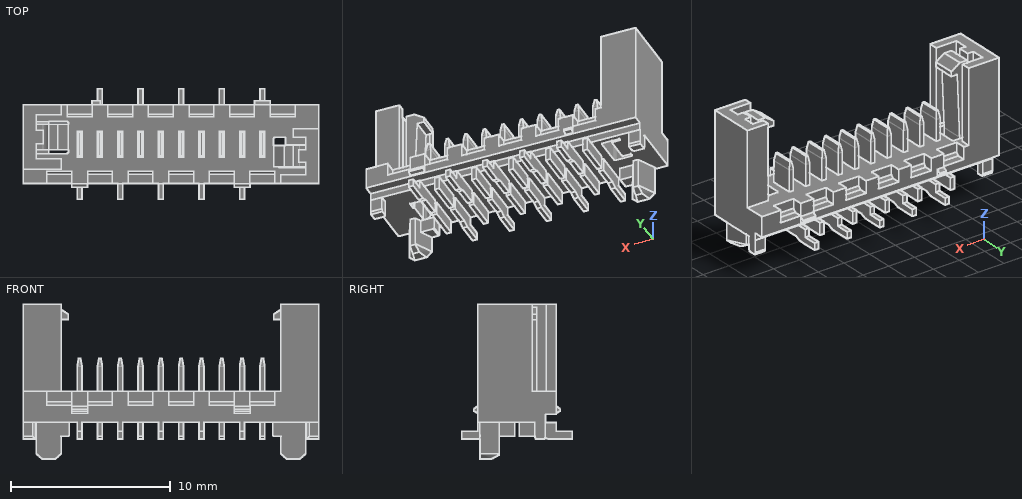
import cadquery as cq


PIN_COUNT = 10
PITCH = 1.27
ROW_HALF = PITCH * (PIN_COUNT - 1) / 2
PIN_THICKNESS = 0.32
PIN_BLADE_DEPTH = 1.63
PIN_SHOULDER_Z = 3.5
PIN_TIP_Z = 4.02
PIN_TIP_THICKNESS = 0.13
PIN_TIP_DEPTH = 1.46
PIN_INNER_Y = 0.13
PIN_INNER_Z = -0.88
STUB_END_Y = 2.32
FOOT_END_Y = 3.46
FOOT_BOTTOM_Z = -1.05
FOOT_TOP_Z = -0.55
FOOT_RAMP_OUTER_Y = 1.95
FOOT_RAMP_INNER_Y = 1.5

LEFT_X = -9.24
RIGHT_X = 9.24
HALF_WIDTH = 2.47
BASE_TOP = 1.95
TOP_Z = 7.4
REAR_STEP_Y = 1.79
REAR_STEP_HEIGHT = 0.5

NOTCH_COUNT = 6
NOTCH_PITCH = 2 * PITCH
NOTCH_LENGTH = 1.55
NOTCH_DEPTH = 0.76
NOTCH_FLOOR_Z = 1.07
NOTCH_BEVEL_DEPTH = 0.17
NOTCH_BEVEL_HEIGHT = 0.21
FIRST_FRONT_NOTCH_X = -ROW_HALF - PITCH
FIRST_REAR_NOTCH_X = -ROW_HALF
BUMP_LENGTH = 1.0
BUMP_REACH = 0.24
BUMP_Z = (0.57, 0.71, 0.83, 1.02)
OUTER_BUMP_X = ROW_HALF
INNER_BUMP_X = ROW_HALF - PITCH
SHORT_BUMP_LENGTH = 0.52

INNER_FACE_X = 6.86
WALL_INNER_X = 8.43
RIB_DEPTH = 0.45
LATCH_BACK_X = 7.64
LATCH_EDGE_X = 7.08
LATCH_TIP_X = 6.42
LATCH_TOP_Z = 7.2
HOOK_SLOPE_Z = 6.77
HOOK_BOTTOM_Z = 6.43
LATCH_FRONT_X = 6.88
LATCH_ROOT_FRONT_X = 7.06
LATCH_FILLET = 0.37
SLOT_FLOOR_Z = 1.0
HOLE_CORNER = 0.1
LARGE_HOLE_CORNER = 0.5

PEG_BOTTOM_Z = -2.3
PEG_OUTER_X = 8.43
PEG_FRONT_Y = -2.32
PEG_BACK_Y = -1.1
PEG_TAPER = 0.62
PEG_END_CHAMFER_RATIO = 0.48
PEG_END_CHAMFER_Z = 0.33
PEG_BACK_CHAMFER_Y = 0.5
PEG_BACK_CHAMFER_Z = 0.27
STANDOFF_INNER_X = 6.36
STANDOFF_BACK_Y = -1.5
STANDOFF_BOTTOM_Z = -0.88
STANDOFF_CORNER = 0.06
LEG_INNER_X = 8.46
LEG_Y = (1.1, 1.78)
LEG_BOTTOM_Z = -1.05
LEG_TAPER_HEIGHT = 0.18
LEG_TAPER_INSET = 0.06
LEG_EDGE_CHAMFER = 0.17


def box(x0, x1, y0, y1, z0, z1):
    """Axis-aligned block between two opposite corners."""
    size = (abs(x1 - x0), abs(y1 - y0), abs(z1 - z0))
    middle = ((x0 + x1) / 2, (y0 + y1) / 2, (z0 + z1) / 2)
    return cq.Workplane("XY").box(*size).translate(middle)


def extrude_along_x(points, x_middle, length):
    """Prism of a (Y, Z) outline, centred on x_middle."""
    prism = cq.Workplane("YZ").polyline(points).close().extrude(length / 2, both=True)
    return prism.translate((x_middle, 0, 0))


def inner_side(end):
    """Selector for the edges nearest the middle of the part."""
    return "<X" if end > 0 else ">X"


def make_base():
    base = box(LEFT_X, RIGHT_X, -HALF_WIDTH, HALF_WIDTH, 0, BASE_TOP)
    return base.cut(box(LEFT_X, RIGHT_X, REAR_STEP_Y, HALF_WIDTH, 0, REAR_STEP_HEIGHT))


def make_notch(x, side):
    """Open-sided pocket in a long top edge, with a bevel along the foot of its back wall."""
    wall_y = HALF_WIDTH - NOTCH_DEPTH
    outline = [
        (side * HALF_WIDTH, BASE_TOP),
        (side * wall_y, BASE_TOP),
        (side * wall_y, NOTCH_FLOOR_Z + NOTCH_BEVEL_HEIGHT),
        (side * (wall_y + NOTCH_BEVEL_DEPTH), NOTCH_FLOOR_Z),
        (side * HALF_WIDTH, NOTCH_FLOOR_Z),
    ]
    return extrude_along_x(outline, x, NOTCH_LENGTH)


def make_bump(x, side, length):
    """Small blunt ridge on a long side of the base."""
    bottom, tip_bottom, tip_top, top = BUMP_Z
    tip_y = HALF_WIDTH + BUMP_REACH
    root_y = HALF_WIDTH - BUMP_REACH
    outline = [
        (side * root_y, bottom),
        (side * HALF_WIDTH, bottom),
        (side * tip_y, tip_bottom),
        (side * tip_y, tip_top),
        (side * HALF_WIDTH, top),
        (side * root_y, top),
    ]
    return extrude_along_x(outline, x, length)


def make_pin(x, side):
    """Tapered upright blade with a solder foot on the given Y side and a stub on the other."""
    blade = box(
        x - PIN_THICKNESS / 2, x + PIN_THICKNESS / 2,
        -PIN_BLADE_DEPTH / 2, PIN_BLADE_DEPTH / 2,
        BASE_TOP / 2, PIN_SHOULDER_Z,
    )
    tip = (
        cq.Workplane("XY", origin=(x, 0, PIN_SHOULDER_Z))
        .rect(PIN_THICKNESS, PIN_BLADE_DEPTH)
        .workplane(offset=PIN_TIP_Z - PIN_SHOULDER_Z)
        .rect(PIN_TIP_THICKNESS, PIN_TIP_DEPTH)
        .loft(ruled=True)
    )
    foot_outline = [
        (side * PIN_INNER_Y, 0),
        (side * PIN_INNER_Y, PIN_INNER_Z),
        (side * FOOT_RAMP_INNER_Y, PIN_INNER_Z),
        (side * FOOT_RAMP_OUTER_Y, FOOT_BOTTOM_Z),
        (side * FOOT_END_Y, FOOT_BOTTOM_Z),
        (side * FOOT_END_Y, FOOT_TOP_Z),
        (side * HALF_WIDTH, FOOT_TOP_Z),
        (side * HALF_WIDTH, 0),
    ]
    foot = extrude_along_x(foot_outline, x, PIN_THICKNESS)
    stub = box(
        x - PIN_THICKNESS / 2, x + PIN_THICKNESS / 2,
        -side * PIN_INNER_Y, -side * STUB_END_Y,
        PIN_INNER_Z, 0,
    )
    return blade.union(tip).union(foot).union(stub)


def make_column(end, outer_x, outer_y, cavity_y, rib_y, rear_arm_x):
    """C-shaped end column, open toward the pins, with a rib on its back wall."""
    front_y, rear_y = outer_y
    column = box(end * INNER_FACE_X, outer_x, front_y, rear_y, BASE_TOP, TOP_Z)
    column = column.cut(box(end * INNER_FACE_X, end * WALL_INNER_X, *cavity_y, BASE_TOP, TOP_Z))
    if rear_arm_x > INNER_FACE_X:
        column = column.cut(box(end * INNER_FACE_X, end * rear_arm_x, cavity_y[1], rear_y, BASE_TOP, TOP_Z))
    rib_face_x = WALL_INNER_X - RIB_DEPTH
    return column.union(box(end * rib_face_x, end * WALL_INNER_X, *rib_y, BASE_TOP, TOP_Z))


def make_latch(end, latch_y):
    """Hooked spring arm standing in the column, flared into the base at its back."""
    front_y, rear_y = latch_y
    root_x = LATCH_BACK_X + LATCH_FILLET
    return (
        cq.Workplane("XZ", origin=(0, rear_y, 0))
        .moveTo(end * LATCH_ROOT_FRONT_X, 0)
        .lineTo(end * LATCH_ROOT_FRONT_X, BASE_TOP)
        .lineTo(end * LATCH_FRONT_X, HOOK_BOTTOM_Z)
        .lineTo(end * LATCH_TIP_X, HOOK_BOTTOM_Z)
        .lineTo(end * LATCH_TIP_X, HOOK_SLOPE_Z)
        .lineTo(end * LATCH_EDGE_X, LATCH_TOP_Z)
        .lineTo(end * LATCH_BACK_X, LATCH_TOP_Z)
        .lineTo(end * LATCH_BACK_X, BASE_TOP + LATCH_FILLET)
        .radiusArc((end * root_x, BASE_TOP), -end * LATCH_FILLET)
        .lineTo(end * root_x, 0)
        .close()
        .extrude(rear_y - front_y)
    )


def make_hole(end, hole_y, back_x, front_corner):
    """Through opening in the base in front of the latch, rounded at its two inner corners."""
    hole = box(end * LATCH_TIP_X, end * back_x, *hole_y, 0, BASE_TOP)
    hole = hole.edges("|Z").edges(inner_side(end)).edges("<Y").fillet(front_corner)
    return hole.edges("|Z").edges(inner_side(end)).edges(">Y").fillet(HOLE_CORNER)


def make_slot_pocket(end, hole_y):
    """Blind pocket behind the hole; the latch root later fills all but two side slots."""
    return box(end * LATCH_EDGE_X, end * WALL_INNER_X, *hole_y, SLOT_FLOOR_Z, BASE_TOP)


def make_latch_web(end, latch_y):
    """Floor block joining the latch root to the back wall of the column."""
    return box(end * LATCH_BACK_X, end * WALL_INNER_X, *latch_y, 0, BASE_TOP)


def peg_section(end, half_width):
    """(X, Z) outline of the peg with its lower corners chamfered in proportion to its width."""
    middle_x = end * (INNER_FACE_X + PEG_OUTER_X) / 2
    flat_half = half_width * (1 - PEG_END_CHAMFER_RATIO)
    chamfer_z = PEG_BOTTOM_Z + PEG_END_CHAMFER_Z
    return [
        (middle_x - half_width, 0),
        (middle_x - half_width, chamfer_z),
        (middle_x - flat_half, PEG_BOTTOM_Z),
        (middle_x + flat_half, PEG_BOTTOM_Z),
        (middle_x + half_width, chamfer_z),
        (middle_x + half_width, 0),
    ]


def make_peg(end):
    """Locating peg narrowing toward +Y, chamfered at its lower end."""
    front_half = (PEG_OUTER_X - INNER_FACE_X) / 2
    back_half = front_half - PEG_TAPER
    peg = (
        cq.Workplane("XZ", origin=(0, PEG_FRONT_Y, 0))
        .polyline(peg_section(end, front_half))
        .close()
        .workplane(offset=PEG_FRONT_Y - PEG_BACK_Y)
        .polyline(peg_section(end, back_half))
        .close()
        .loft(ruled=True)
    )
    side_profile = [
        (PEG_FRONT_Y, 0),
        (PEG_FRONT_Y, PEG_BOTTOM_Z),
        (PEG_BACK_Y - PEG_BACK_CHAMFER_Y, PEG_BOTTOM_Z),
        (PEG_BACK_Y, PEG_BOTTOM_Z + PEG_BACK_CHAMFER_Z),
        (PEG_BACK_Y, 0),
    ]
    return peg.intersect(extrude_along_x(side_profile, 0, 2 * RIGHT_X))


def make_standoff(end):
    """Short block under the base on the inner side of the peg, flush with its front."""
    peg_middle_x = (INNER_FACE_X + PEG_OUTER_X) / 2
    block = box(
        end * STANDOFF_INNER_X, end * peg_middle_x,
        PEG_FRONT_Y, STANDOFF_BACK_Y,
        STANDOFF_BOTTOM_Z, 0,
    )
    return block.edges("|Y").edges(inner_side(end)).edges("<Z").chamfer(STANDOFF_CORNER)


def make_leg(end, outer_x):
    """Rear support leg, slightly tapered at its lower end."""
    front_y, rear_y = LEG_Y
    leg = box(end * LEG_INNER_X, outer_x, front_y, rear_y, LEG_BOTTOM_Z, REAR_STEP_HEIGHT)
    leg = leg.edges("|Z").edges(inner_side(end)).edges("<Y").chamfer(LEG_EDGE_CHAMFER)
    shoulder_z = LEG_BOTTOM_Z + LEG_TAPER_HEIGHT
    profile = [
        (front_y, REAR_STEP_HEIGHT),
        (front_y, shoulder_z),
        (front_y + LEG_TAPER_INSET, LEG_BOTTOM_Z),
        (rear_y - LEG_TAPER_INSET, LEG_BOTTOM_Z),
        (rear_y, shoulder_z),
        (rear_y, REAR_STEP_HEIGHT),
    ]
    return leg.intersect(extrude_along_x(profile, 0, 2 * RIGHT_X))


LEFT_COLUMN = dict(
    outer_y=(-1.58, HALF_WIDTH),
    cavity_y=(-0.93, 1.82),
    rib_y=(0.03, 0.85),
    rear_arm_x=INNER_FACE_X,
)
RIGHT_COLUMN = dict(
    outer_y=(-HALF_WIDTH, 0.96),
    cavity_y=(-1.93, 0.44),
    rib_y=(-1.15, -0.37),
    rear_arm_x=LATCH_BACK_X,
)
LEFT_LATCH_Y = (-0.37, 1.25)
RIGHT_LATCH_Y = (-1.43, -0.08)
LEFT_HOLE_Y = (-0.59, 1.41)
RIGHT_HOLE_Y = (-1.48, 0.42)
RIGHT_SLOT_Y = (-1.48, -0.03)
RIGHT_HOLE_BACK_X = 7.15

result = make_base()
for i in range(NOTCH_COUNT):
    result = result.cut(make_notch(FIRST_FRONT_NOTCH_X + i * NOTCH_PITCH, -1))
    result = result.cut(make_notch(FIRST_REAR_NOTCH_X + i * NOTCH_PITCH, 1))

result = result.union(make_bump(-OUTER_BUMP_X, -1, BUMP_LENGTH))
result = result.union(make_bump(INNER_BUMP_X, -1, BUMP_LENGTH))
result = result.union(make_bump(OUTER_BUMP_X, 1, BUMP_LENGTH))
short_bump_x = -INNER_BUMP_X - BUMP_LENGTH / 2 + SHORT_BUMP_LENGTH / 2
result = result.union(make_bump(short_bump_x, 1, SHORT_BUMP_LENGTH))

result = result.cut(make_hole(-1, LEFT_HOLE_Y, LATCH_BACK_X, HOLE_CORNER))
result = result.cut(make_slot_pocket(-1, LEFT_HOLE_Y))
result = result.cut(make_hole(1, RIGHT_HOLE_Y, RIGHT_HOLE_BACK_X, LARGE_HOLE_CORNER))
result = result.cut(make_slot_pocket(1, RIGHT_SLOT_Y))
result = result.union(make_column(-1, LEFT_X, **LEFT_COLUMN))
result = result.union(make_column(1, RIGHT_X, **RIGHT_COLUMN))
for end, latch_y in ((-1, LEFT_LATCH_Y), (1, RIGHT_LATCH_Y)):
    result = result.union(make_latch_web(end, latch_y))
    result = result.union(make_latch(end, latch_y))

for end, outer_x in ((-1, LEFT_X), (1, RIGHT_X)):
    result = result.union(make_peg(end))
    result = result.union(make_standoff(end))
    result = result.union(make_leg(end, outer_x))

for i in range(PIN_COUNT):
    foot_side = -1 if i % 2 == 0 else 1
    result = result.union(make_pin(-ROW_HALF + i * PITCH, foot_side))